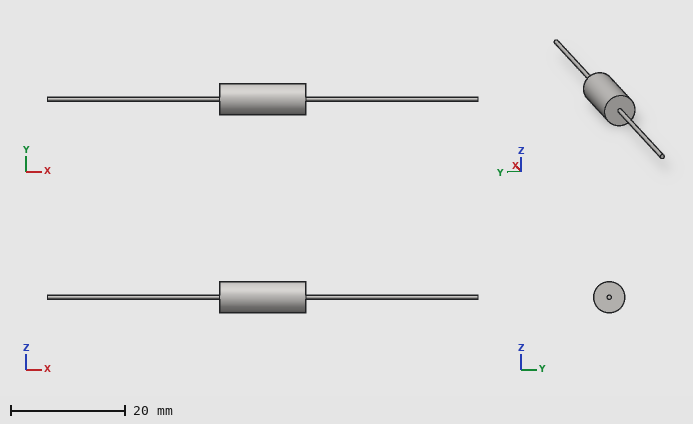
import cadquery as cq

overall_length = 75.0
body_length = 15.0
body_diameter = 5.5
lead_diameter = 0.75

lead_length = (overall_length - body_length) / 2


def cylinder_along_x(start_x, length, diameter):
    """Solid cylinder centred on the X axis, running in +X from start_x."""
    return cq.Workplane("YZ", origin=(start_x, 0, 0)).circle(diameter / 2).extrude(length)


def make_body():
    return cylinder_along_x(-body_length / 2, body_length, body_diameter)


def make_lead(start_x):
    return cylinder_along_x(start_x, lead_length, lead_diameter)


body = make_body()

lead_starts = [-overall_length / 2, body_length / 2]
leads = [make_lead(start_x) for start_x in lead_starts]

result = cq.Compound.makeCompound([body.val(), *[lead.val() for lead in leads]])